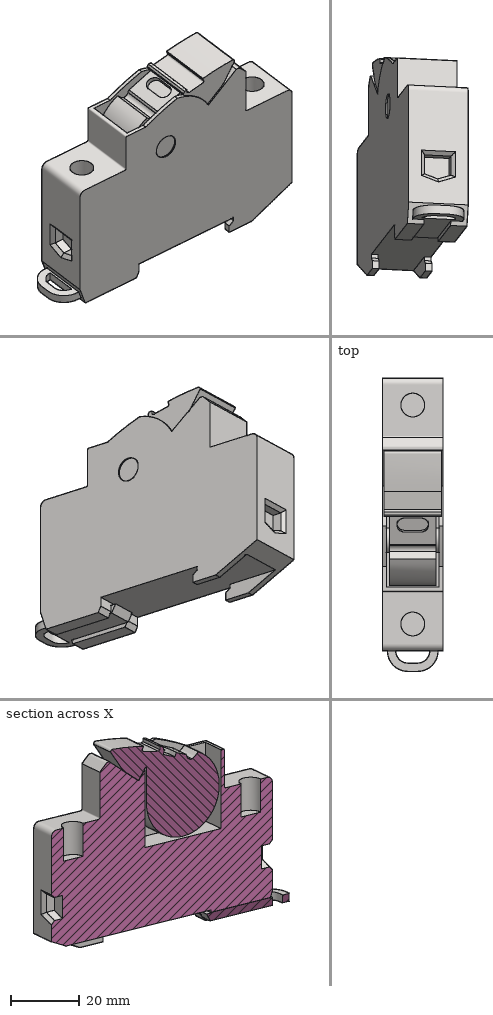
import cadquery as cq
import math


WIDTH = 17.8
LENGTH = 80.0
SHOULDER_Z = 41.8
SHOULDER_FILLET = 2.0
TOWER_FRONT_Y = 17.4
TOWER_REAR_Y = 62.5
TOWER_Z = 54.0
TOWER_EDGE = 0.4
PEAK_Z = 58.9
TOTAL_HEIGHT = 62.6
NOTCH_BOTTOM = (48.4, 50.8)

RAIL_FRONT_Y = 22.3
RAIL_REAR_Y = 57.9
RAIL_Z = 4.65
RAIL_LIP = 1.6
REAR_SLOT_WIDTH = 13.8

WALL = 1.2
CLEARANCE = 0.4
PIVOT_Y = 32.4
PIVOT_Z = 43.1
PIN_RADIUS = 3.6
DRUM_RADIUS = 13.25

SCREW_HOLE_DIAMETER = 7.0
SCREW_HOLE_DEPTH = 10.3
SCREW_HOLE_INSET = 7.9
ENTRY_HALF_WIDTH = 5.1
ENTRY_TOP_Z = 21.85
ENTRY_SIDE_Z = 14.2
ENTRY_TIP_Z = 12.5
ENTRY_BEVEL = 1.1
ENTRY_DEPTH = 3.95

HEAD_WIDTH = WIDTH - 2 * CLEARANCE
BODY_WIDTH = 13.8
PLATE_REAR = (39.4, 58.5)
PLATE_FRONT = (31.2, 55.2)
GROOVE_BOTTOM = (29.15, 53.4)
DRUM_LIP_Y = 26.9
WINDOW_Y = 36.9
WINDOW_LENGTH = 9.3
WINDOW_HEIGHT = 4.4
WINDOW_DEPTH = 1.4

CLIP_BOTTOM_Z = 1.3
CLIP_THICKNESS = 2.6
CLIP_TONGUE_WIDTH = 8.0
LOOP_RADIUS = 6.0
LOOP_BAND = 2.5
LOOP_FLAT = 2.8
LOOP_REAR_Y = 2.2
HOOK_TIP_Y = 24.0


def extrude_across(profile, width):
    """Extrude a YZ profile symmetrically about the X = 0 plane."""
    return profile.extrude(width / 2, both=True)


def pivot_cylinder(radius, width):
    circle = cq.Workplane("YZ").center(PIVOT_Y, PIVOT_Z).circle(radius)
    return extrude_across(circle, width)


def make_envelope():
    """Outside shape of the housing, before it is hollowed."""
    profile = (
        cq.Workplane("YZ")
        .moveTo(2.1, 0)
        .lineTo(21.3, 0)
        .lineTo(RAIL_FRONT_Y, 1.8)
        .lineTo(RAIL_FRONT_Y, RAIL_Z)
        .lineTo(RAIL_REAR_Y, RAIL_Z)
        .lineTo(RAIL_REAR_Y, 3.5)
        .lineTo(RAIL_REAR_Y - RAIL_LIP, 2.3)
        .lineTo(RAIL_REAR_Y - RAIL_LIP, 0)
        .lineTo(64.7, 0)
        .lineTo(LENGTH, 7.1)
        .lineTo(LENGTH, SHOULDER_Z - SHOULDER_FILLET)
        .tangentArcPoint((-SHOULDER_FILLET, SHOULDER_FILLET))
        .lineTo(TOWER_REAR_Y + TOWER_EDGE, SHOULDER_Z)
        .tangentArcPoint((-TOWER_EDGE, TOWER_EDGE))
        .lineTo(TOWER_REAR_Y, 56.4)
        .lineTo(60.2, 58.65)
        .tangentArcPoint((59.3, PEAK_Z), relative=False)
        .lineTo(58.9, PEAK_Z)
        .lineTo(*NOTCH_BOTTOM)
        .threePointArc((42.5, 56.85), (36.6, PEAK_Z))
        .threePointArc((31.4, 57.0), (24.8, TOWER_Z))
        .lineTo(TOWER_FRONT_Y + TOWER_EDGE, TOWER_Z)
        .tangentArcPoint((-TOWER_EDGE, -TOWER_EDGE))
        .lineTo(TOWER_FRONT_Y, SHOULDER_Z + TOWER_EDGE)
        .tangentArcPoint((-TOWER_EDGE, -TOWER_EDGE))
        .lineTo(SHOULDER_FILLET, SHOULDER_Z)
        .tangentArcPoint((-SHOULDER_FILLET, -SHOULDER_FILLET))
        .lineTo(0, 5.9)
        .close()
    )
    return extrude_across(profile, WIDTH)


def make_cavity():
    """Well that the drum of the lever turns in, open at the top."""
    front = PIVOT_Y - DRUM_RADIUS - CLEARANCE
    rear = PIVOT_Y + DRUM_RADIUS + CLEARANCE
    floor = PIVOT_Z - DRUM_RADIUS - CLEARANCE
    return cq.Workplane("XY").box(
        WIDTH - 2 * WALL, rear - front, TOTAL_HEIGHT - floor, centered=(True, False, False)
    ).translate((0, front, floor))


def entry_outline(plane, inset):
    """Five-sided wire entry outline, moved inward by inset on every edge."""
    half = ENTRY_HALF_WIDTH - inset
    slope = math.atan2(ENTRY_SIDE_Z - ENTRY_TIP_Z, ENTRY_HALF_WIDTH)
    tip_z = ENTRY_TIP_Z + inset / math.cos(slope)
    side_z = tip_z + half * math.tan(slope)
    top_z = ENTRY_TOP_Z - inset
    corners = [(0, tip_z), (half, side_z), (half, top_z), (-half, top_z), (-half, side_z)]
    return plane.polyline(corners).close()


def make_wire_entry():
    """Bevelled mouth and straight pocket, cut in from the front face."""
    mouth = entry_outline(cq.Workplane("XZ"), 0)
    mouth = entry_outline(mouth.workplane(offset=-ENTRY_BEVEL), ENTRY_BEVEL).loft(ruled=True)
    pocket = entry_outline(cq.Workplane("XZ"), ENTRY_BEVEL).extrude(-ENTRY_DEPTH)
    return mouth.union(pocket)


def make_terminal():
    """Cutter for the front terminal: screw hole and wire entry."""
    screw_hole = (
        cq.Workplane("XY", origin=(0, SCREW_HOLE_INSET, SHOULDER_Z))
        .circle(SCREW_HOLE_DIAMETER / 2)
        .extrude(-SCREW_HOLE_DEPTH)
    )
    return screw_hole.union(make_wire_entry())


def make_clip():
    """Sliding rail clip: pull loop at the front, tongue with a hooked end at the rear."""
    def loop_outline(radius):
        half = LOOP_FLAT / 2
        return (
            cq.Workplane("XY", origin=(0, 0, CLIP_BOTTOM_Z))
            .moveTo(-half - radius, 0)
            .radiusArc((-half, -radius), -radius)
            .lineTo(half, -radius)
            .radiusArc((half + radius, 0), -radius)
        )

    root_half = LOOP_FLAT / 2 + LOOP_RADIUS
    loop = (
        loop_outline(LOOP_RADIUS)
        .lineTo(root_half, LOOP_REAR_Y)
        .lineTo(-root_half, LOOP_REAR_Y)
        .close()
        .extrude(CLIP_THICKNESS)
    )
    opening = loop_outline(LOOP_RADIUS - LOOP_BAND).close().extrude(CLIP_THICKNESS)
    top_z = CLIP_BOTTOM_Z + CLIP_THICKNESS
    tongue = extrude_across(
        cq.Workplane("YZ").polyline([
            (LOOP_REAR_Y / 2, CLIP_BOTTOM_Z),
            (22.5, CLIP_BOTTOM_Z),
            (HOOK_TIP_Y, top_z),
            (LOOP_REAR_Y / 2, top_z),
        ]).close(),
        CLIP_TONGUE_WIDTH,
    )
    return loop.cut(opening).union(tongue)


def make_housing(envelope, clip):
    housing = envelope.cut(make_cavity())
    housing = housing.cut(pivot_cylinder(PIN_RADIUS, WIDTH))
    front_terminal = make_terminal()
    rear_terminal = front_terminal.rotate((0, LENGTH / 2, 0), (0, LENGTH / 2, 1), 180)
    for terminal in (front_terminal, rear_terminal):
        housing = housing.cut(terminal)
    foot_slot = cq.Workplane("XY").box(
        CLIP_TONGUE_WIDTH, LENGTH, CLIP_BOTTOM_Z, centered=(True, False, False)
    )
    rear_slot = cq.Workplane("XY").box(
        REAR_SLOT_WIDTH, LENGTH - RAIL_REAR_Y + RAIL_LIP, RAIL_Z, centered=(True, False, False)
    ).translate((0, RAIL_REAR_Y - RAIL_LIP, 0))
    return housing.cut(foot_slot).cut(rear_slot).cut(clip)


def make_lever_head(envelope):
    """Finger grip resting in the V; its underside follows the housing top."""
    blank = (
        cq.Workplane("YZ")
        .moveTo(*NOTCH_BOTTOM)
        .lineTo(54.2, 55.2)
        .lineTo(58.65, 61.8)
        .threePointArc((58.3, 62.4), (57.7, TOTAL_HEIGHT))
        .threePointArc((52.5, 62.1), (46.7, 61.15))
        .lineTo(46.7, 60.9)
        .lineTo(47.0, 60.0)
        .threePointArc((46.9, 59.7), (46.5, 59.5))
        .lineTo(41.45, 58.5)
        .lineTo(40.8, 58.7)
        .lineTo(40.8, 59.8)
        .lineTo(39.8, 59.7)
        .lineTo(39.4, 59.0)
        .lineTo(*PLATE_REAR)
        .close()
    )
    return extrude_across(blank, HEAD_WIDTH).cut(envelope)


def make_lever_body():
    """Drum with a flattened, grooved top that joins the head."""
    lip_rise = math.sqrt(DRUM_RADIUS ** 2 - (PIVOT_Y - DRUM_LIP_Y) ** 2)
    drum_rear_y = PIVOT_Y + DRUM_RADIUS
    profile = (
        cq.Workplane("YZ")
        .moveTo(DRUM_LIP_Y, PIVOT_Z + lip_rise)
        .threePointArc((PIVOT_Y, PIVOT_Z - DRUM_RADIUS), (drum_rear_y, PIVOT_Z))
        .lineTo(drum_rear_y, 56.8)
        .lineTo(41.45, 58.3)
        .lineTo(*PLATE_REAR)
        .lineTo(*PLATE_FRONT)
        .threePointArc((31.0, 54.9), (30.9, 54.4))
        .threePointArc((30.3, 53.7), GROOVE_BOTTOM)
        .lineTo(28.1, 54.0)
        .close()
    )
    return extrude_across(profile, BODY_WIDTH)


def make_window():
    """Rounded recess cut square into the sloping plate."""
    run = PLATE_REAR[0] - PLATE_FRONT[0]
    rise = PLATE_REAR[1] - PLATE_FRONT[1]
    window_z = PLATE_FRONT[1] + (WINDOW_Y - PLATE_FRONT[0]) * rise / run
    plate = cq.Plane(origin=(0, WINDOW_Y, window_z), xDir=(1, 0, 0), normal=(0, -rise, run))
    return cq.Workplane(plate).slot2D(WINDOW_LENGTH, WINDOW_HEIGHT).extrude(-WINDOW_DEPTH)


def make_lever(envelope):
    lever = make_lever_body().union(make_lever_head(envelope))
    lever = lever.union(pivot_cylinder(PIN_RADIUS, HEAD_WIDTH))
    return lever.cut(make_window())


envelope = make_envelope()
clip = make_clip()
housing = make_housing(envelope, clip)
lever = make_lever(envelope)

result = cq.Compound.makeCompound([body.solids().val() for body in (housing, lever, clip)])